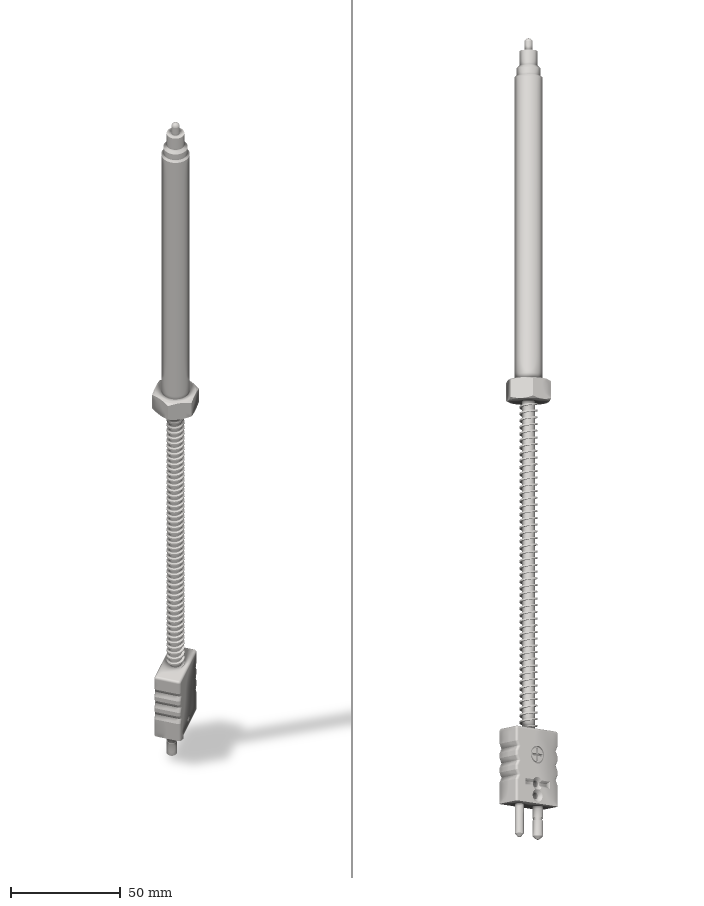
import cadquery as cq
import math

TOTAL_HEIGHT = 370.2
PLUG_BOTTOM = 15.0
PLUG_TOP = 50.0
NUT_BOTTOM = 202.0
NUT_TOP = 211.8

NUT_ACROSS_FLATS = 19.0
NUT_CHAMFER_ANGLE = math.radians(30)
FLATS_TO_X_ROTATION = 30
TUBE_RADIUS = 6.48
TUBE_TOP = 353.0
SHOULDER_RADIUS = 5.5
SHOULDER_TOP = 357.5
COLLAR_RADIUS = 4.0
COLLAR_TOP = 364.3
TIP_RADIUS = 2.0
TIP_DOME_HEIGHT = 1.5

HOSE_RADIUS = 4.0
RIB_DEPTH = 1.0
RIB_TURNS = 49
RIB_WIDTH = 0.7
RIB_EMBED = 0.5

PLUG_WIDTH_X = 12.5
PLUG_WIDTH_Y = 25.0
PLUG_ROUNDING = 1.0
GRIP_COUNT = 3
LOWEST_GRIP_LEVEL = 27.5
GRIP_PITCH = 6.5
GRIP_HEIGHT = 4.5
GRIP_DEPTH = 1.0
PIN_SPACING = 11.0
THIN_PIN_RADIUS = 2.05
THICK_PIN_RADIUS = 2.4
PIN_TIP_RADIUS = 0.7
PIN_TIP_HEIGHT = 1.5
PIN_GROOVE_LEVEL = 9.3
PIN_GROOVE_WIDTH = 1.0
PIN_GROOVE_DEPTH = 0.5

SCREW_LEVEL = 37.8
SCREW_RADIUS = 4.0
SCREW_CLEARANCE = 0.7
SCREW_RING_DEPTH = 0.7
CROSS_LENGTH = 6.0
CROSS_WIDTH = 1.0
CROSS_DEPTH = 1.0
SLOT_LEVEL = 24.5
SLOT_LENGTH = 14.8
SLOT_HEIGHT = 3.5
SLOT_DEPTH = 1.0
SLOT_WALL_ANGLE = 45
LOWER_HOLE_LEVEL = 19.0
HOLE_RADIUS = 1.5
COUNTERSINK_RADIUS = 3.0
UPPER_HOLE_DEPTH = 3.7


def make_nut():
    """Hexagon nut with flats on +-X and both end faces chamfered."""
    corner_radius = NUT_ACROSS_FLATS / 2 / math.cos(math.pi / 6)
    face_radius = NUT_ACROSS_FLATS / 2
    bevel = (corner_radius - face_radius) * math.tan(NUT_CHAMFER_ANGLE)
    hexagon = (
        cq.Workplane("XY", origin=(0, 0, NUT_BOTTOM))
        .polygon(6, 2 * corner_radius)
        .extrude(NUT_TOP - NUT_BOTTOM)
        .rotate((0, 0, 0), (0, 0, 1), FLATS_TO_X_ROTATION)
    )
    chamfer_envelope = (
        cq.Workplane("XZ")
        .moveTo(0, NUT_BOTTOM)
        .lineTo(-face_radius, NUT_BOTTOM)
        .lineTo(-corner_radius, NUT_BOTTOM + bevel)
        .lineTo(-corner_radius, NUT_TOP - bevel)
        .lineTo(-face_radius, NUT_TOP)
        .lineTo(0, NUT_TOP)
        .close()
        .revolve(360, (0, 0, 0), (0, 1, 0))
    )
    return hexagon.intersect(chamfer_envelope)


def make_probe():
    """Tube, shoulder, collar and domed tip turned in one profile, joined with the nut."""
    dome_radius = (TIP_RADIUS**2 + TIP_DOME_HEIGHT**2) / (2 * TIP_DOME_HEIGHT)
    turned = (
        cq.Workplane("XZ")
        .moveTo(0, NUT_BOTTOM)
        .lineTo(-TUBE_RADIUS, NUT_BOTTOM)
        .lineTo(-TUBE_RADIUS, TUBE_TOP - (TUBE_RADIUS - SHOULDER_RADIUS))
        .lineTo(-SHOULDER_RADIUS, TUBE_TOP)
        .lineTo(-SHOULDER_RADIUS, SHOULDER_TOP - (SHOULDER_RADIUS - COLLAR_RADIUS))
        .lineTo(-COLLAR_RADIUS, SHOULDER_TOP)
        .lineTo(-COLLAR_RADIUS, COLLAR_TOP)
        .lineTo(-TIP_RADIUS, COLLAR_TOP)
        .lineTo(-TIP_RADIUS, TOTAL_HEIGHT - TIP_DOME_HEIGHT)
        .radiusArc((0, TOTAL_HEIGHT), dome_radius)
        .close()
        .revolve(360, (0, 0, 0), (0, 1, 0))
    )
    return turned.union(make_nut())


def make_hose():
    """Flexible hose between plug and nut, with a right-handed helical rib around its core."""
    length = NUT_BOTTOM - PLUG_TOP
    core_radius = HOSE_RADIUS - RIB_DEPTH
    pitch = length / RIB_TURNS
    core = cq.Workplane("XY", origin=(0, 0, PLUG_TOP)).circle(core_radius).extrude(length)
    path = cq.Wire.makeHelix(pitch, length + 2 * pitch, core_radius, cq.Vector(0, 0, PLUG_TOP - pitch))
    rib = (
        cq.Workplane("XZ", origin=(0, 0, PLUG_TOP - pitch))
        .center(core_radius + (RIB_DEPTH - RIB_EMBED) / 2, 0)
        .rect(RIB_DEPTH + RIB_EMBED, RIB_WIDTH)
        .sweep(cq.Workplane(path), isFrenet=True)
    )
    trim = cq.Workplane("XY", origin=(0, 0, PLUG_TOP)).circle(2 * HOSE_RADIUS).extrude(length)
    return core.union(rib.intersect(trim))


def make_plug_block():
    """Block with V-shaped finger grips across both Y sides and every edge but the lower ones rounded."""
    block = (
        cq.Workplane("XY", origin=(0, 0, PLUG_BOTTOM))
        .rect(PLUG_WIDTH_X, PLUG_WIDTH_Y)
        .extrude(PLUG_TOP - PLUG_BOTTOM)
    )
    for index in range(GRIP_COUNT):
        level = LOWEST_GRIP_LEVEL + index * GRIP_PITCH
        for side in (-1, 1):
            outer = side * PLUG_WIDTH_Y / 2
            grip = (
                cq.Workplane("YZ")
                .moveTo(outer, level - GRIP_HEIGHT / 2)
                .lineTo(outer - side * GRIP_DEPTH, level)
                .lineTo(outer, level + GRIP_HEIGHT / 2)
                .close()
                .extrude(PLUG_WIDTH_X, both=True)
            )
            block = block.cut(grip)
    return block.faces("|X or >Z").edges("not <Z").fillet(PLUG_ROUNDING)


def face_plane(level):
    """Work plane on the plug's -X face, its normal pointing into the plug."""
    return cq.Workplane("YZ", origin=(-PLUG_WIDTH_X / 2, 0, level))


def cut_screw(plug):
    """Flush screw head with a cross drive, set off by a ring-shaped clearance groove."""
    screw_plane = face_plane(SCREW_LEVEL)
    ring = screw_plane.circle(SCREW_RADIUS).circle(SCREW_RADIUS - SCREW_CLEARANCE).extrude(SCREW_RING_DEPTH)
    plug = plug.cut(ring)
    for size in ((CROSS_LENGTH, CROSS_WIDTH), (CROSS_WIDTH, CROSS_LENGTH)):
        plug = plug.cut(screw_plane.rect(*size).extrude(CROSS_DEPTH))
    return plug


def countersunk_hole(level, depth):
    """Cutter for a hole with a 45 degree countersink in the -X face."""
    countersink = cq.Solid.makeCone(
        COUNTERSINK_RADIUS,
        HOLE_RADIUS,
        COUNTERSINK_RADIUS - HOLE_RADIUS,
        cq.Vector(-PLUG_WIDTH_X / 2, 0, level),
        cq.Vector(1, 0, 0),
    )
    return face_plane(level).circle(HOLE_RADIUS).extrude(depth).union(cq.Workplane(countersink))


def make_pin(y, radius):
    """Round pin below the plug with a conical tip."""
    return (
        cq.Workplane("XZ")
        .moveTo(0, 0)
        .lineTo(-PIN_TIP_RADIUS, 0)
        .lineTo(-radius, PIN_TIP_HEIGHT)
        .lineTo(-radius, PLUG_BOTTOM)
        .lineTo(0, PLUG_BOTTOM)
        .close()
        .revolve(360, (0, 0, 0), (0, 1, 0))
        .translate((0, y, 0))
    )


def make_thick_pin(y):
    """Thicker pin with a narrow ring groove."""
    groove = (
        cq.Workplane("XY", origin=(0, y, PIN_GROOVE_LEVEL - PIN_GROOVE_WIDTH / 2))
        .circle(2 * THICK_PIN_RADIUS)
        .circle(THICK_PIN_RADIUS - PIN_GROOVE_DEPTH)
        .extrude(PIN_GROOVE_WIDTH)
    )
    return make_pin(y, THICK_PIN_RADIUS).cut(groove)


def make_connector():
    """Plug with its screw, slot, two countersunk holes and both pins."""
    plug = cut_screw(make_plug_block())
    slot = face_plane(SLOT_LEVEL).rect(SLOT_LENGTH, SLOT_HEIGHT)
    plug = plug.cut(slot.extrude(SLOT_DEPTH, taper=SLOT_WALL_ANGLE))
    plug = plug.cut(countersunk_hole(SLOT_LEVEL, UPPER_HOLE_DEPTH))
    plug = plug.cut(countersunk_hole(LOWER_HOLE_LEVEL, PLUG_WIDTH_X))
    thin_pin = make_pin(PIN_SPACING / 2, THIN_PIN_RADIUS)
    return plug.union(thin_pin).union(make_thick_pin(-PIN_SPACING / 2))


probe = make_probe()
hose = make_hose()
connector = make_connector()

result = cq.Compound.makeCompound([probe.val(), hose.val(), connector.val()])